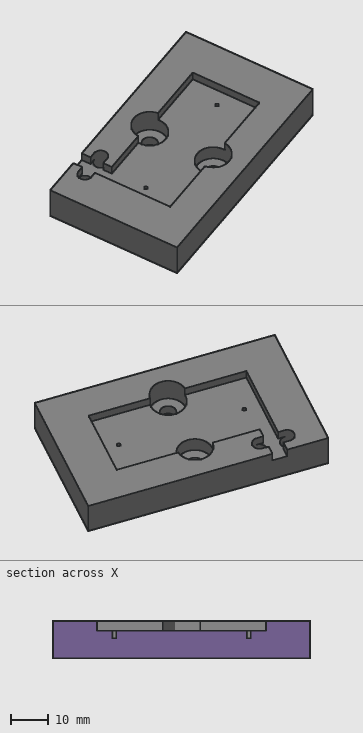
import cadquery as cq

plate_width = 40.0
plate_length = 68.8
plate_height = 10.0

pocket_width = 21.0
pocket_length = 45.2
pocket_depth = 2.6

channel_width = 4.2
channel_center_y = -(pocket_length - channel_width) / 2

tie_hole_diameter = 4.0
tie_hole_spacing = 8.0
tie_hole_x = -15.2

mount_spacing = 20.0
mount_hole_diameter = 4.5
counterbore_diameter = 10.0
counterbore_depth = 7.0

pin_hole_diameter = 1.0
pin_hole_spacing = 36.0
pin_hole_depth = 2.0

pocket_floor_z = plate_height - pocket_depth


def block(x_min, x_max, y_center, y_size, z_min, z_max):
    """Box given by its X range, Y centre and size, and Z range."""
    return (
        cq.Workplane("XY", origin=((x_min + x_max) / 2, y_center, z_min))
        .rect(x_max - x_min, y_size)
        .extrude(z_max - z_min)
    )


def cylinders(points, diameter, z_min, z_max):
    """Vertical cylinders of one diameter at the given points."""
    return (
        cq.Workplane("XY", origin=(0, 0, z_min))
        .pushPoints(points)
        .circle(diameter / 2)
        .extrude(z_max - z_min)
    )


def plate():
    return block(-plate_width / 2, plate_width / 2, 0, plate_length, 0, plate_height)


def pocket():
    return block(-pocket_width / 2, pocket_width / 2, 0, pocket_length, pocket_floor_z, plate_height)


def cable_channel():
    return block(-plate_width / 2, 0, channel_center_y, channel_width, pocket_floor_z, plate_height)


def tie_slot():
    radius = tie_hole_diameter / 2
    return block(
        tie_hole_x - radius,
        tie_hole_x + radius,
        channel_center_y,
        tie_hole_spacing,
        pocket_floor_z,
        plate_height,
    )


def tie_holes():
    points = [(tie_hole_x, channel_center_y + side * tie_hole_spacing / 2) for side in (-1, 1)]
    return cylinders(points, tie_hole_diameter, 0, plate_height)


def mounting_holes():
    points = [(side * mount_spacing / 2, 0) for side in (-1, 1)]
    through_holes = cylinders(points, mount_hole_diameter, 0, plate_height)
    counterbores = cylinders(points, counterbore_diameter, plate_height - counterbore_depth, plate_height)
    return through_holes.union(counterbores)


def pin_holes():
    points = [(0, side * pin_hole_spacing / 2) for side in (-1, 1)]
    return cylinders(points, pin_hole_diameter, pocket_floor_z - pin_hole_depth, pocket_floor_z)


result = plate()
for cutter in (pocket, cable_channel, tie_slot, tie_holes, mounting_holes, pin_holes):
    result = result.cut(cutter())